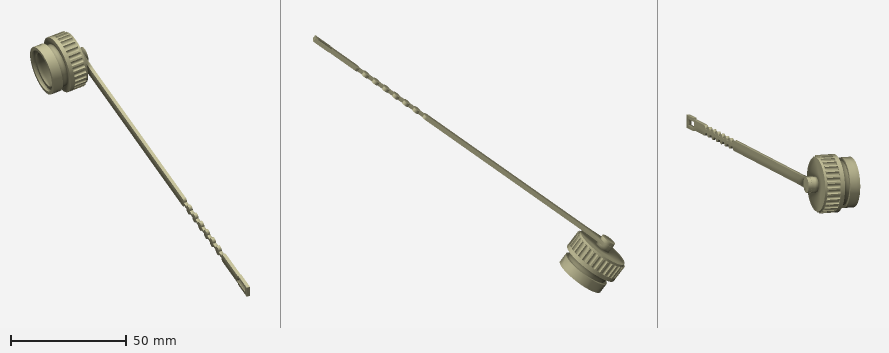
import cadquery as cq
import math

overall_length = 170.0
collar_radius = 12.8
lip_radius = 11.0
neck_radius = 9.7
back_radius = 11.9
stud_radius = 3.4

lip_end = 4.6
neck_end = 7.6
groove_start = 9.5
groove_end = 15.5
back_end = 16.5
strap_start = 18.0
strap_thickness = 1.5
stud_end = 21.0

mouth_radius = 9.5
mouth_depth = 1.5
bore_radius = 7.8
bore_depth = 10.4

groove_count = 30
groove_radius = 0.94

strap_width = 4.6
loop_radius = 3.5
loop_blend_radius = 50.0
strap_end = overall_length - collar_radius

bead_count = 6
bead_pitch = 5.5
first_bead = 102.3
web_width = 1.5
bead_radius = (strap_width - web_width) / 2
notches_start = first_bead - bead_pitch
notches_end = first_bead + bead_count * bead_pitch

tab_length = 8.3
tab_width = 5.8
slot_length = 7.5
slot_width = 2.7
slot_end_wall = 1.7


def cylinder(radius, start, end):
    """Cylinder on the cap axis between two Y stations."""
    return cq.Workplane("XZ", origin=(0, start, 0)).circle(radius).extrude(start - end)


def strap_bar(start, end, width):
    """Flat bar of strap thickness between two X stations."""
    size = (end - start, strap_thickness, width)
    return cq.Workplane("XY").box(*size, centered=(False, False, True)).translate((start, strap_start, 0))


def make_cap():
    cap = cylinder(lip_radius, 0, lip_end)
    cap = cap.union(cylinder(neck_radius, lip_end, neck_end))
    cap = cap.union(cylinder(collar_radius, neck_end, groove_end))
    cap = cap.union(cylinder(back_radius, groove_end, back_end))
    cap = cap.union(cylinder(stud_radius, back_end, stud_end))
    cap = cap.cut(cylinder(mouth_radius, 0, mouth_depth))
    return cap.cut(cylinder(bore_radius, 0, bore_depth))


def make_grooves():
    """Round-bottomed axial grooves spaced evenly around the collar."""
    groove = cylinder(groove_radius, groove_start, groove_end).translate((0, 0, collar_radius))
    grooves = cq.Workplane("XY")
    for i in range(groove_count):
        grooves = grooves.add(groove.rotate((0, 0, 0), (0, 1, 0), i * 360 / groove_count))
    return grooves.combine()


def strap_disc(radius, x, z):
    """Round disc of strap thickness."""
    return cylinder(radius, strap_start, strap_start + strap_thickness).translate((x, 0, z))


def make_loop():
    """Ring around the stud, flaring into the strap along large tangent arcs."""
    half_width = strap_width / 2
    blend_z = half_width + loop_blend_radius
    center_distance = loop_radius + loop_blend_radius
    blend_x = math.sqrt(center_distance**2 - blend_z**2)
    touch_x = blend_x * loop_radius / center_distance
    touch_z = blend_z * loop_radius / center_distance
    mid_angle = (math.atan2(-blend_z, -blend_x) - math.pi / 2) / 2
    mid_x = blend_x + loop_blend_radius * math.cos(mid_angle)
    mid_z = blend_z + loop_blend_radius * math.sin(mid_angle)
    return (
        cq.Workplane("XZ", origin=(0, strap_start, 0))
        .moveTo(blend_x, half_width)
        .threePointArc((mid_x, mid_z), (touch_x, touch_z))
        .threePointArc((-loop_radius, 0), (touch_x, -touch_z))
        .threePointArc((mid_x, -mid_z), (blend_x, -half_width))
        .close()
        .extrude(-strap_thickness)
    )


def make_strap():
    strap = make_loop()
    strap = strap.union(strap_bar(0, notches_start, strap_width))
    strap = strap.union(strap_bar(notches_start, notches_end, web_width))
    strap = strap.union(strap_bar(notches_end, strap_end, strap_width))
    for i in range(-1, bead_count + 1):
        bead_x = first_bead + i * bead_pitch
        for bead_z in (-web_width / 2, web_width / 2):
            strap = strap.union(strap_disc(bead_radius, bead_x, bead_z))
    strap = strap.union(strap_bar(strap_end - tab_length, strap_end, tab_width))
    slot_end = strap_end - slot_end_wall
    return strap.cut(strap_bar(slot_end - slot_length, slot_end, slot_width))


result = make_cap().cut(make_grooves()).union(make_strap())